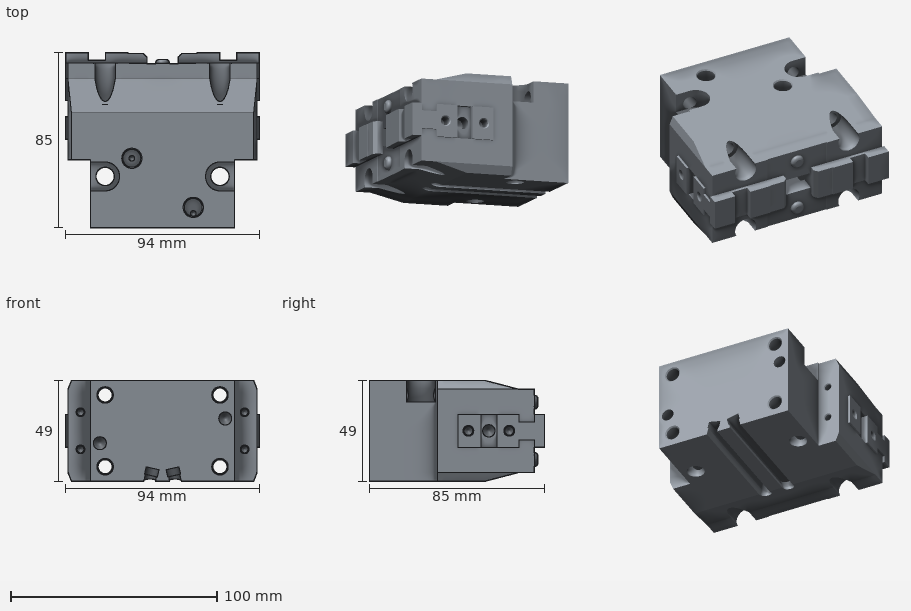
import cadquery as cq
import math


BODY_HEIGHT = 49.0
HALF_HEIGHT = BODY_HEIGHT / 2
BLOCK_WIDTH = 70.0
HEAD_WIDTH = 91.8
HEAD_START_Y = 33.0
TAPER_START_Y = 56.0
COVER_START_Y = 72.5
BACK_Y = 80.0
COVER_HALF_HEIGHT = 20.2
SIDE_CHAMFER_WIDTH = 1.7
BACK_RECESS_WIDTH = 32.0
BACK_RECESS_DEPTH = 0.35

JAW_OUTER_X = 47.0
JAW_INNER_X = 7.5
JAW_HALF_HEIGHT = 8.0
JAW_NECK_HALF_HEIGHT = 4.4
JAW_FRONT_Y = 43.0
JAW_BACK_Y = 85.0
JAW_NOTCH_X = 27.75
JAW_NOTCH_WIDTH = 8.2
JAW_NOTCH_DEPTH = 3.6
JAW_STEP_X = 16.8
JAW_STEP_DEPTH = 0.35
JAW_TIP_CHAMFER = 1.8
END_GROOVE_START_Y = 54.0
END_GROOVE_WIDTH = 7.8
END_GROOVE_DEPTH = 3.5
END_GROOVE_Y = END_GROOVE_START_Y + END_GROOVE_WIDTH / 2
JAW_SCREW_SPACING = 19.8
JAW_SCREW_DRILL = 4.2
JAW_SCREW_MOUTH = 5.2
JAW_DOWEL_DIAMETER = 6.0

MOUNT_X = 27.85
MOUNT_Z = 17.4
MOUNT_DRILL = 6.8
MOUNT_MOUTH = 8.0
BACK_COUNTERBORE_DIAMETER = 11.4
BACK_COUNTERBORE_FLOOR_Y = 60.0
CROSS_HOLE_Y = 25.0
CROSS_HOLE_DIAMETER = 8.8
POCKET_WIDTH = 14.0
POCKET_DEPTH = 10.5

DOWEL_X = 30.4
DOWEL_Z = 6.0
DOWEL_DIAMETER = 6.3
DOWEL_DEPTH = 10.0
SIDE_SCREW_X = 39.8
SIDE_SCREW_Z = 9.0
SIDE_SCREW_DRILL = 3.3
SIDE_SCREW_MOUTH = 4.2
SCREW_HOLE_DEPTH = 8.0
DRILL_POINT_ANGLE = 118.0

AIR_PORTS = [(-14.9, 33.8, 33.8), (14.9, 10.0, 7.1)]
PORT_DRILL = 8.7
PORT_MOUTH = 9.8
PORT_DEPTH = 8.0
FEED_DIAMETER = 2.7
FEED_DEPTH = 4.0

GROOVE_X = 6.3
GROOVE_TILT = 13.0
GROOVE_MOUTH_WIDTH = 5.5
GROOVE_WIDTH = 6.4
GROOVE_MOUTH_DEPTH = 2.9
GROOVE_DEPTH = 6.5
GROOVE_END_CENTER_Y = 57.4

SCREW_HEAD_Z = 13.9
SCREW_HEAD_RADIUS = 3.4
SCREW_HEAD_TOP_RADIUS = 2.0
SCREW_HEAD_RIM = 0.3
SCREW_HEAD_HEIGHT = 2.1

MARGIN = 5.0


def box(x_min, x_max, y_min, y_max, z_min, z_max):
    size = (x_max - x_min, y_max - y_min, z_max - z_min)
    return cq.Workplane("XY").box(*size, centered=False).translate((x_min, y_min, z_min))


def rod(start, direction, diameter, length):
    axis = cq.Vector(*direction)
    return cq.Workplane(cq.Solid.makeCylinder(diameter / 2, length, cq.Vector(*start), axis))


def cone(start, direction, start_diameter, end_diameter, length):
    radii = (start_diameter / 2, end_diameter / 2)
    axis = cq.Vector(*direction)
    return cq.Workplane(cq.Solid.makeCone(*radii, length, cq.Vector(*start), axis))


def countersink(start, direction, mouth, drill):
    """45 degree entry from the mouth diameter down to the drill diameter."""
    return cone(start, direction, mouth, drill, (mouth - drill) / 2)


def drilled_hole(start, direction, diameter, depth):
    """Blind hole with a full conical drill point."""
    tip_start = cq.Vector(*start) + cq.Vector(*direction) * depth
    tip_length = diameter / 2 / math.tan(math.radians(DRILL_POINT_ANGLE / 2))
    tip = cone(tip_start.toTuple(), direction, diameter, 0, tip_length)
    return rod(start, direction, diameter, depth).union(tip)


def tapped_hole(start, direction, drill, mouth, depth):
    hole = drilled_hole(start, direction, drill, depth)
    return hole.union(countersink(start, direction, mouth, drill))


def housing_blank():
    side_profile = (
        cq.Workplane("YZ")
        .polyline([
            (0, -HALF_HEIGHT),
            (TAPER_START_Y, -HALF_HEIGHT),
            (COVER_START_Y, -COVER_HALF_HEIGHT),
            (BACK_Y, -COVER_HALF_HEIGHT),
            (BACK_Y, COVER_HALF_HEIGHT),
            (COVER_START_Y, COVER_HALF_HEIGHT),
            (TAPER_START_Y, HALF_HEIGHT),
            (0, HALF_HEIGHT),
        ])
        .close()
        .extrude(HEAD_WIDTH / 2, both=True)
    )
    half_head = HEAD_WIDTH / 2
    half_flat = half_head - SIDE_CHAMFER_WIDTH
    head = (
        cq.Workplane("XZ")
        .polyline([
            (half_flat, -HALF_HEIGHT),
            (half_head, -COVER_HALF_HEIGHT),
            (half_head, COVER_HALF_HEIGHT),
            (half_flat, HALF_HEIGHT),
            (-half_flat, HALF_HEIGHT),
            (-half_head, COVER_HALF_HEIGHT),
            (-half_head, -COVER_HALF_HEIGHT),
            (-half_flat, -HALF_HEIGHT),
        ])
        .close()
        .extrude(HEAD_START_Y - BACK_Y)
        .translate((0, HEAD_START_Y, 0))
    )
    half_block = BLOCK_WIDTH / 2
    block = box(-half_block, half_block, 0, HEAD_START_Y, -HALF_HEIGHT, HALF_HEIGHT)
    return side_profile.intersect(block.union(head))


def back_recess():
    half = BACK_RECESS_WIDTH / 2
    floor = BACK_Y - BACK_RECESS_DEPTH
    return box(-half, half, floor, BACK_Y + MARGIN, -HALF_HEIGHT, HALF_HEIGHT)


def jaw_slot():
    reach = HEAD_WIDTH / 2 + MARGIN
    slide = box(-reach, reach, JAW_FRONT_Y, COVER_START_Y, -JAW_HALF_HEIGHT, JAW_HALF_HEIGHT)
    neck_z = JAW_NECK_HALF_HEIGHT
    neck = box(-reach, reach, COVER_START_Y, BACK_Y + MARGIN, -neck_z, neck_z)
    return slide.union(neck)


def mounting_hole(x, z):
    """Through hole along Y with a countersink in front and a counterbore from the back."""
    into_front = (0, 1, 0)
    hole = rod((x, 0, z), into_front, MOUNT_DRILL, BACK_Y)
    entry = countersink((x, 0, z), into_front, MOUNT_MOUTH, MOUNT_DRILL)
    floor = (x, BACK_COUNTERBORE_FLOOR_Y, z)
    bore_length = BACK_Y + MARGIN - BACK_COUNTERBORE_FLOOR_Y
    bore = rod(floor, into_front, BACK_COUNTERBORE_DIAMETER, bore_length)
    return hole.union(entry).union(bore)


def cross_hole(side):
    """Vertical through hole in a round-ended pocket that opens to the side of the front block."""
    x = side * MOUNT_X
    floor = HALF_HEIGHT - POCKET_DEPTH
    hole = rod((x, CROSS_HOLE_Y, -HALF_HEIGHT), (0, 0, 1), CROSS_HOLE_DIAMETER, BODY_HEIGHT)
    pocket_round = rod((x, CROSS_HOLE_Y, floor), (0, 0, 1), POCKET_WIDTH, POCKET_DEPTH)
    opening_length = BLOCK_WIDTH / 2 - MOUNT_X
    opening = (
        cq.Workplane("XY")
        .box(opening_length, POCKET_WIDTH, POCKET_DEPTH)
        .translate((x + side * opening_length / 2, CROSS_HOLE_Y, floor + POCKET_DEPTH / 2))
    )
    return hole.union(pocket_round).union(opening)


def air_port(x, y, feed_y):
    down = (0, 0, -1)
    top = (x, y, HALF_HEIGHT)
    port = rod(top, down, PORT_DRILL, PORT_DEPTH)
    entry = countersink(top, down, PORT_MOUTH, PORT_DRILL)
    feed = drilled_hole((x, feed_y, HALF_HEIGHT - PORT_DEPTH), down, FEED_DIAMETER, FEED_DEPTH)
    return port.union(entry).union(feed)


def round_ended_slot(width, bottom, top):
    straight = box(-width / 2, width / 2, -MARGIN, GROOVE_END_CENTER_Y, bottom, top)
    end = rod((0, GROOVE_END_CENTER_Y, bottom), (0, 0, 1), width, top - bottom)
    return straight.union(end)


def sensor_groove(side):
    """T-shaped groove leaning towards the middle, open at the front and round at its end."""
    mouth = round_ended_slot(GROOVE_MOUTH_WIDTH, -MARGIN, GROOVE_DEPTH)
    wide = round_ended_slot(GROOVE_WIDTH, GROOVE_MOUTH_DEPTH, GROOVE_DEPTH)
    return (
        mouth.union(wide)
        .rotate((0, 0, 0), (0, 1, 0), -side * GROOVE_TILT)
        .translate((side * GROOVE_X, 0, -HALF_HEIGHT))
    )


def cover_screw(z):
    """Domed screw head standing on the recessed back face."""
    base_y = BACK_Y - BACK_RECESS_DEPTH
    return (
        cq.Workplane("XY")
        .moveTo(0, 0)
        .lineTo(SCREW_HEAD_RADIUS, 0)
        .lineTo(SCREW_HEAD_RADIUS, SCREW_HEAD_RIM)
        .tangentArcPoint((SCREW_HEAD_TOP_RADIUS, SCREW_HEAD_HEIGHT), relative=False)
        .lineTo(0, SCREW_HEAD_HEIGHT)
        .close()
        .revolve(360, (0, 0, 0), (0, 1, 0))
        .translate((0, base_y, z))
    )


def make_housing():
    body = housing_blank().cut(back_recess()).cut(jaw_slot())
    into_front = (0, 1, 0)
    for side in (-1, 1):
        body = body.cut(cross_hole(side)).cut(sensor_groove(side))
        dowel_start = (side * DOWEL_X, 0, side * DOWEL_Z)
        body = body.cut(drilled_hole(dowel_start, into_front, DOWEL_DIAMETER, DOWEL_DEPTH))
        for level in (-1, 1):
            body = body.cut(mounting_hole(side * MOUNT_X, level * MOUNT_Z))
            start = (side * SIDE_SCREW_X, HEAD_START_Y, level * SIDE_SCREW_Z)
            hole = tapped_hole(start, into_front, SIDE_SCREW_DRILL, SIDE_SCREW_MOUTH, SCREW_HOLE_DEPTH)
            body = body.cut(hole)
    for x, y, feed_y in AIR_PORTS:
        body = body.cut(air_port(x, y, feed_y))
    for level in (-1, 1):
        body = body.union(cover_screw(level * SCREW_HEAD_Z))
    return body


def make_left_jaw():
    half = JAW_HALF_HEIGHT
    neck = JAW_NECK_HALF_HEIGHT
    step_y = JAW_BACK_Y - JAW_STEP_DEPTH
    plan = (
        cq.Workplane("XY")
        .polyline([
            (-JAW_OUTER_X, JAW_FRONT_Y),
            (-JAW_OUTER_X, JAW_BACK_Y),
            (-JAW_STEP_X, JAW_BACK_Y),
            (-JAW_STEP_X, step_y),
            (-JAW_INNER_X - JAW_TIP_CHAMFER, step_y),
            (-JAW_INNER_X, step_y - JAW_TIP_CHAMFER),
            (-JAW_INNER_X, JAW_FRONT_Y),
        ])
        .close()
        .extrude(half, both=True)
    )
    notch_x = -JAW_NOTCH_X - JAW_NOTCH_WIDTH
    notch_y = JAW_BACK_Y - JAW_NOTCH_DEPTH
    jaw = plan.cut(box(notch_x, -JAW_NOTCH_X, notch_y, JAW_BACK_Y + MARGIN, -half, half))
    for z_min, z_max in ((-half, -neck), (neck, half)):
        jaw = jaw.cut(box(-JAW_OUTER_X, -JAW_INNER_X, COVER_START_Y, BACK_Y, z_min, z_max))
    groove_floor = -JAW_OUTER_X + END_GROOVE_DEPTH
    groove_end_y = END_GROOVE_START_Y + END_GROOVE_WIDTH
    jaw = jaw.cut(box(-JAW_OUTER_X, groove_floor, END_GROOVE_START_Y, groove_end_y, -half, half))

    inward = (1, 0, 0)
    dowel_start = (groove_floor, END_GROOVE_Y, 0)
    jaw = jaw.cut(drilled_hole(dowel_start, inward, JAW_DOWEL_DIAMETER, SCREW_HOLE_DEPTH))
    for direction in (-1, 1):
        start = (-JAW_OUTER_X, END_GROOVE_Y + direction * JAW_SCREW_SPACING / 2, 0)
        hole = tapped_hole(start, inward, JAW_SCREW_DRILL, JAW_SCREW_MOUTH, SCREW_HOLE_DEPTH)
        jaw = jaw.cut(hole)
    return jaw


housing = make_housing()
left_jaw = make_left_jaw()
jaws = []
for turn in (0, 180):
    jaws.append(left_jaw.rotate((0, 0, 0), (0, 1, 0), turn))

result = cq.Compound.makeCompound([housing.val(), *[jaw.val() for jaw in jaws]])